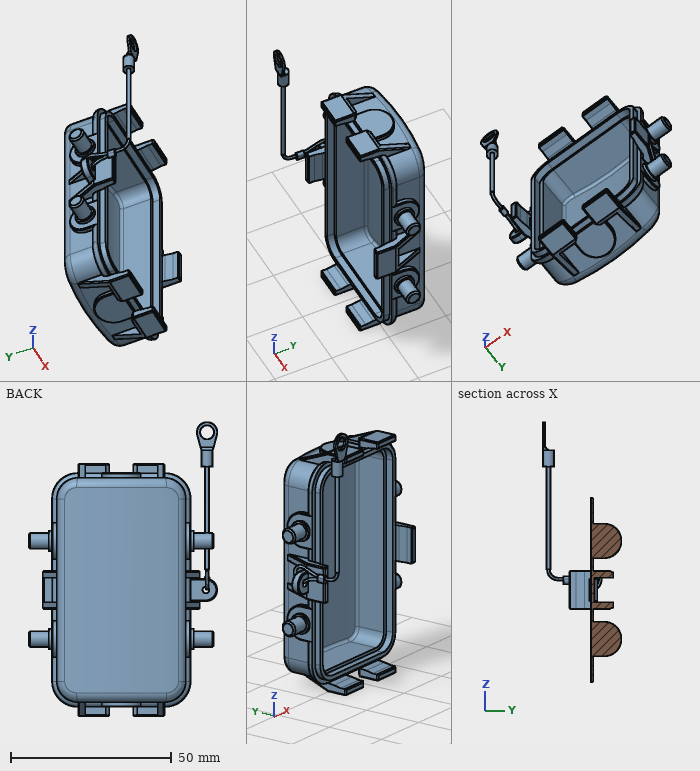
import cadquery as cq
import math


BODY_HALF_X = 20.15
BODY_HALF_Z = 35.0
BODY_CORNER_R = 6.6
APEX_Y = 17.03
ARCH_R = 90.0
BACK_FILLET = 3.0

EMBED = 0.5
OVERSHOOT = 1.0

FLANGE_STEP = 1.5
FLANGE_HALF_X = BODY_HALF_X + FLANGE_STEP
FLANGE_HALF_Z = BODY_HALF_Z + FLANGE_STEP
FLANGE_CORNER_R = BODY_CORNER_R + FLANGE_STEP
FLANGE_FRONT_Y = 1.95
FLANGE_BACK_Y = 4.45
FLANGE_FILLET = 2.0

RIM_WALL = 1.45
LEDGE_Y = 2.5
CAVITY_HALF_X = 17.3
CAVITY_HALF_Z = 32.5
CAVITY_CORNER_R = 4.0
FLOOR_THICKNESS = 2.4
FLOOR_FILLET = 1.0

PAD_CHAMFER = 0.3
PIN_PAD_R = 5.7
END_PAD_R = 6.1
END_PAD_Y = 7.05

PIN_Y = 6.1
PIN_Z = 15.3
PIN_R = 2.5
PIN_END_X = 28.9
PIN_CHAMFER = 0.55
COLLAR_R = 3.25
COLLAR_END_X = 22.6

LEVER_RISE = 2.88
LEVER_BACK_Y = 3.1
LEVER_TIP_THICKNESS = 2.2
GRIP_LENGTH = 2.1
UNDERCUT_LENGTH = 4.7
UNDERCUT_STEP = 0.2
LEVER_CHAMFER = 0.4
RIB_WIDTH = 2.2
END_LEVER_WIDTH = 9.8
END_LEVER_X = 8.6
END_LEVER_TIP_Y = -5.05
END_RIB_START_Y = 13.0
END_PAD_CLEARANCE = 0.2
SIDE_LEVER_WIDTH = 11.9
SIDE_LEVER_TIP_Y = -4.8
SIDE_RIB_START_Y = 12.5

EYE_X = -26.4
EYE_R = 3.5
EYE_HOLE_R = 1.0
EYE_FRONT_Y = 1.4
EYE_BACK_Y = 4.0
EYE_CHAMFER = 0.3

TETHER_X = -26.75
TETHER_Y = -11.28
STRAND_R = 0.46
SHEATH_R = 0.65
STRAND_Z = 3.4
BEND_R = 3.0
CRIMP_FRONT_Y = -6.65
CRIMP_BACK_Y = -4.15
CRIMP_Z = 3.05
CRIMP_HEIGHT = 2.6
CRIMP_WIDTH = 1.58
STRAND_SPACING = 1.1
LOOP_OVER_EYE = [(-1.5, 4.3), (0.9, 5.2), (2.65, 5.6), (4.1, 5.0), (4.9, 3.5)]
LOOP_THROUGH_HOLE = [(4.5, 1.85), (3.8, 0.9), (2.5, 0.5), (1.1, 0.95), (-0.5, 1.9), (-2.4, 2.4)]

BARREL_R = 1.75
BARREL_BOTTOM_Z = 38.5
BARREL_TOP_Z = 43.6
LUG_NECK_Z = 44.6
LUG_NECK_HALF_WIDTH = 2.1
LUG_Z = 49.19
LUG_R = 3.2
LUG_HOLE_R = 2.15
LUG_THICKNESS = 0.75


def rounded_block(half_x, half_z, corner_r, y_start, y_end):
    block = cq.Workplane("XZ", origin=(0, y_start, 0)).rect(2 * half_x, 2 * half_z)
    return block.extrude(y_start - y_end).edges("|Y").fillet(corner_r)


def arched_block(half_x, half_z, corner_r, y_start, apex_y, arch_r, back_fillet):
    """Rounded block whose back is part of a cylinder running along Z."""
    block = rounded_block(half_x, half_z, corner_r, y_start, apex_y + OVERSHOOT)
    arch = cq.Workplane("XY", origin=(0, apex_y - arch_r, -half_z - OVERSHOOT)).circle(arch_r)
    block = block.intersect(arch.extrude(2 * (half_z + OVERSHOOT)))
    return block.faces(">Y").edges().fillet(back_fillet)


def both_sides(solid, plane):
    return solid.union(solid.mirror(plane))


def cylinder_x(radius, x_start, x_end, y, z):
    return cq.Workplane("YZ", origin=(x_start, y, z)).circle(radius).extrude(x_end - x_start)


def wall_pad(radius, centre_y, wall, top):
    """U-shaped pad on a +Z wall: round towards the back, straight down to the flange."""
    start = wall - EMBED
    outline = (
        cq.Workplane("XY", origin=(0, 0, start))
        .moveTo(-radius, FLANGE_FRONT_Y)
        .lineTo(-radius, centre_y)
        .threePointArc((0, centre_y + radius), (radius, centre_y))
        .lineTo(radius, FLANGE_FRONT_Y)
        .close()
    )
    return outline.extrude(top - start).faces(">Z").edges(">Y or |Y").chamfer(PAD_CHAMFER)


def lever(wall, flange, width, tip_y, rib_start_y, pocket_start, pocket_end):
    """Grip lever on a +Z wall, centred on X; a pocket behind its plate leaves sloping ribs."""
    top = flange + LEVER_RISE
    root = wall - EMBED
    grip_bottom = top - LEVER_TIP_THICKNESS
    grip = (
        cq.Workplane("YZ", origin=(-width / 2, 0, 0))
        .moveTo(rib_start_y, root)
        .lineTo(rib_start_y, wall)
        .lineTo(FLANGE_FRONT_Y, top)
        .lineTo(tip_y, top)
        .lineTo(tip_y, grip_bottom)
        .lineTo(tip_y + GRIP_LENGTH, grip_bottom)
        .lineTo(tip_y + UNDERCUT_LENGTH, flange + UNDERCUT_STEP)
        .lineTo(FLANGE_FRONT_Y, flange)
        .lineTo(FLANGE_FRONT_Y, root)
        .close()
        .extrude(width)
    )
    slope_edges = grip.edges(f"|(0,{FLANGE_FRONT_Y - rib_start_y},{top - wall})")
    top_edges = grip.faces(">Z").edges("|Y")
    tip_edges = grip.faces("<Y").edges()
    grip = tip_edges.add(top_edges).add(slope_edges).chamfer(LEVER_CHAMFER)
    pocket_depth = rib_start_y - LEVER_BACK_Y + OVERSHOOT
    pocket_height = top - root + OVERSHOOT
    pocket = cq.Workplane("XY", origin=(pocket_start, LEVER_BACK_Y, root))
    return grip.cut(pocket.box(pocket_end - pocket_start, pocket_depth, pocket_height, centered=False))


def make_shell():
    shell = arched_block(BODY_HALF_X, BODY_HALF_Z, BODY_CORNER_R, 0, APEX_Y, ARCH_R, BACK_FILLET)
    flange = rounded_block(FLANGE_HALF_X, FLANGE_HALF_Z, FLANGE_CORNER_R, FLANGE_FRONT_Y, FLANGE_BACK_Y)
    return shell.union(flange.faces(">Y").edges().fillet(FLANGE_FILLET))


def make_interior():
    recess = rounded_block(
        BODY_HALF_X - RIM_WALL, BODY_HALF_Z - RIM_WALL, BODY_CORNER_R - RIM_WALL, 0, LEDGE_Y
    )
    cavity = arched_block(
        CAVITY_HALF_X,
        CAVITY_HALF_Z,
        CAVITY_CORNER_R,
        0,
        APEX_Y - FLOOR_THICKNESS,
        ARCH_R - FLOOR_THICKNESS,
        FLOOR_FILLET,
    )
    return recess.union(cavity)


def make_pins():
    """The pad, collar and pin at +X, +Z, repeated at all four places."""
    pad = wall_pad(PIN_PAD_R, PIN_Y, BODY_HALF_X, FLANGE_HALF_X)
    pad = pad.rotate((0, 0, 0), (0, 1, 0), 90).translate((0, 0, PIN_Z))
    collar = cylinder_x(COLLAR_R, BODY_HALF_X, COLLAR_END_X, PIN_Y, PIN_Z)
    pin = cylinder_x(PIN_R, BODY_HALF_X, PIN_END_X, PIN_Y, PIN_Z)
    pin = pin.faces(">X").edges().chamfer(PIN_CHAMFER)
    return both_sides(both_sides(pad.union(collar).union(pin), "XY"), "YZ")


def make_end_levers():
    """Two levers, each with one outer rib, and the pad between them, on both end walls."""
    half_width = END_LEVER_WIDTH / 2
    grip = lever(
        BODY_HALF_Z,
        FLANGE_HALF_Z,
        END_LEVER_WIDTH,
        END_LEVER_TIP_Y,
        END_RIB_START_Y,
        -half_width,
        half_width - RIB_WIDTH,
    )
    pair = both_sides(grip.translate((END_LEVER_X, 0, 0)), "YZ")
    clearance = cq.Workplane("XY", origin=(0, END_PAD_Y, FLANGE_HALF_Z))
    pair = pair.cut(clearance.circle(END_PAD_R + END_PAD_CLEARANCE).extrude(2 * LEVER_RISE))
    pad = wall_pad(END_PAD_R, END_PAD_Y, BODY_HALF_Z, FLANGE_HALF_Z)
    return both_sides(pair.union(pad), "XY")


def make_side_levers():
    """One lever with a rib at either edge on each long wall."""
    half_pocket = SIDE_LEVER_WIDTH / 2 - RIB_WIDTH
    grip = lever(
        BODY_HALF_X,
        FLANGE_HALF_X,
        SIDE_LEVER_WIDTH,
        SIDE_LEVER_TIP_Y,
        SIDE_RIB_START_Y,
        -half_pocket,
        half_pocket,
    )
    return both_sides(grip.rotate((0, 0, 0), (0, 1, 0), 90), "YZ")


def make_eye():
    depth = EYE_BACK_Y - EYE_FRONT_Y
    length = -FLANGE_HALF_X - EYE_X
    plane = cq.Workplane("XZ", origin=(EYE_X, EYE_BACK_Y, 0))
    disc = plane.circle(EYE_R).extrude(depth).faces("<Y or >Y").edges().chamfer(EYE_CHAMFER)
    base = plane.center(length / 2, 0).rect(length, 2 * EYE_R).extrude(depth)
    base = base.edges("|X").chamfer(EYE_CHAMFER)
    return disc.union(base).cut(plane.circle(EYE_HOLE_R).extrude(depth))


def make_loop():
    """Wire loop that leaves the crimp, passes over the eye and returns through its hole."""
    start = (CRIMP_BACK_Y - EMBED, CRIMP_Z + STRAND_SPACING / 2)
    end = (CRIMP_BACK_Y - EMBED, CRIMP_Z - STRAND_SPACING / 2)
    path = cq.Workplane("YZ", origin=(TETHER_X, 0, 0)).spline(
        [start] + LOOP_OVER_EYE + LOOP_THROUGH_HOLE + [end], tangents=[(1, 0), (-1, 0)]
    )
    return cq.Workplane("XZ", origin=(TETHER_X, start[0], start[1])).circle(STRAND_R).sweep(path)


def make_cable():
    bend_end_z = STRAND_Z + BEND_R
    bend_start_y = TETHER_Y + BEND_R
    mid = BEND_R * math.sqrt(0.5)
    path = (
        cq.Workplane("YZ", origin=(TETHER_X, 0, 0))
        .moveTo(CRIMP_FRONT_Y, STRAND_Z)
        .lineTo(bend_start_y, STRAND_Z)
        .threePointArc((bend_start_y - mid, bend_end_z - mid), (TETHER_Y, bend_end_z))
    )
    strand = cq.Workplane("XZ", origin=(TETHER_X, CRIMP_FRONT_Y, STRAND_Z)).circle(STRAND_R).sweep(path)
    sheath = cq.Workplane("XY", origin=(TETHER_X, TETHER_Y, bend_end_z)).circle(SHEATH_R)
    crimp = cq.Workplane("XZ", origin=(TETHER_X, CRIMP_BACK_Y, CRIMP_Z))
    crimp = crimp.slot2D(CRIMP_HEIGHT, CRIMP_WIDTH, 90)
    strand = strand.union(sheath.extrude(BARREL_BOTTOM_Z - bend_end_z))
    return strand.union(crimp.extrude(CRIMP_BACK_Y - CRIMP_FRONT_Y))


def make_terminal():
    """Crimp barrel, tapering neck and flat ring lug."""
    barrel = cq.Workplane("XY", origin=(TETHER_X, TETHER_Y, BARREL_BOTTOM_Z)).circle(BARREL_R)
    barrel = barrel.extrude(BARREL_TOP_Z - BARREL_BOTTOM_Z)
    front_y = TETHER_Y - BARREL_R
    neck = (
        cq.Workplane("XY", origin=(TETHER_X, front_y + BARREL_R / 2, BARREL_TOP_Z))
        .rect(2 * BARREL_R, BARREL_R)
        .workplane(offset=LUG_NECK_Z - BARREL_TOP_Z)
        .center(0, (LUG_THICKNESS - BARREL_R) / 2)
        .rect(2 * LUG_NECK_HALF_WIDTH, LUG_THICKNESS)
        .loft()
    )
    drop = LUG_Z - LUG_NECK_Z
    corner_distance = math.hypot(LUG_NECK_HALF_WIDTH, drop)
    tangent_angle = math.atan2(-drop, LUG_NECK_HALF_WIDTH) + math.acos(LUG_R / corner_distance)
    tangent_x = LUG_R * math.cos(tangent_angle)
    tangent_z = LUG_R * math.sin(tangent_angle)
    lug = (
        cq.Workplane("XZ", origin=(TETHER_X, front_y, LUG_Z))
        .moveTo(-LUG_NECK_HALF_WIDTH, -drop)
        .lineTo(LUG_NECK_HALF_WIDTH, -drop)
        .lineTo(tangent_x, tangent_z)
        .threePointArc((0, LUG_R), (-tangent_x, tangent_z))
        .close()
        .moveTo(0, 0)
        .circle(LUG_HOLE_R)
        .extrude(-LUG_THICKNESS)
    )
    return barrel.union(neck).union(lug)


cover = make_shell()
for feature in (make_pins(), make_end_levers(), make_side_levers(), make_eye()):
    cover = cover.union(feature)
cover = cover.cut(make_interior())
tether = make_loop().union(make_cable()).union(make_terminal())
result = cover.union(tether)